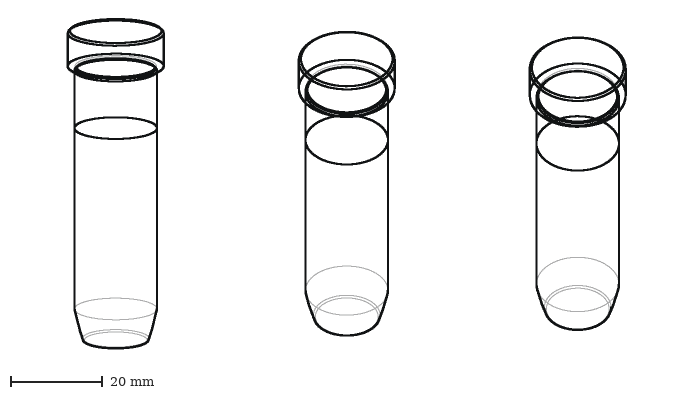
import cadquery as cq

total_length = 70.0
head_radius = 10.5
head_height = 8.0
head_chamfer = 0.5
shank_radius = 9.0

upper_length = 22.0

groove_width = 1.0
groove_depth = 0.4
groove_ramp = 0.4
groove_fillet = 0.3

nose_length = 7.1
nose_end_radius = 7.3
nose_bulge = 0.15
tip_height = 0.4
tip_inset = 0.4

half_length = total_length / 2
head_bottom = half_length - head_height
groove_bottom = head_bottom - groove_width
groove_radius = shank_radius - groove_depth
split_level = half_length - upper_length
nose_top = nose_length - half_length
tip_top = tip_height - half_length


def make_upper():
    """Chamfered head, undercut and the fitted length of the shank."""
    profile = (
        cq.Workplane("XZ")
        .moveTo(0, split_level)
        .lineTo(shank_radius, split_level)
        .lineTo(shank_radius, groove_bottom)
        .lineTo(groove_radius, groove_bottom + groove_ramp)
        .lineTo(groove_radius, head_bottom - groove_fillet)
        .radiusArc((groove_radius + groove_fillet, head_bottom), groove_fillet)
        .lineTo(head_radius, head_bottom)
        .lineTo(head_radius, half_length - head_chamfer)
        .lineTo(head_radius - head_chamfer, half_length)
        .lineTo(0, half_length)
        .close()
    )
    return profile.revolve(360, (0, 0), (0, 1))


def make_guide():
    """Plain guide length with the bulged nose and rounded tip."""
    nose_middle = (
        (shank_radius + nose_end_radius) / 2 + nose_bulge,
        (nose_top + tip_top) / 2,
    )
    profile = (
        cq.Workplane("XZ")
        .moveTo(0, split_level)
        .lineTo(shank_radius, split_level)
        .lineTo(shank_radius, nose_top)
        .threePointArc(nose_middle, (nose_end_radius, tip_top))
        .radiusArc((nose_end_radius - tip_inset, -half_length), tip_inset)
        .lineTo(0, -half_length)
        .close()
    )
    return profile.revolve(360, (0, 0), (0, 1))


upper = make_upper()
guide = make_guide()

result = cq.Compound.makeCompound([upper.val(), guide.val()])